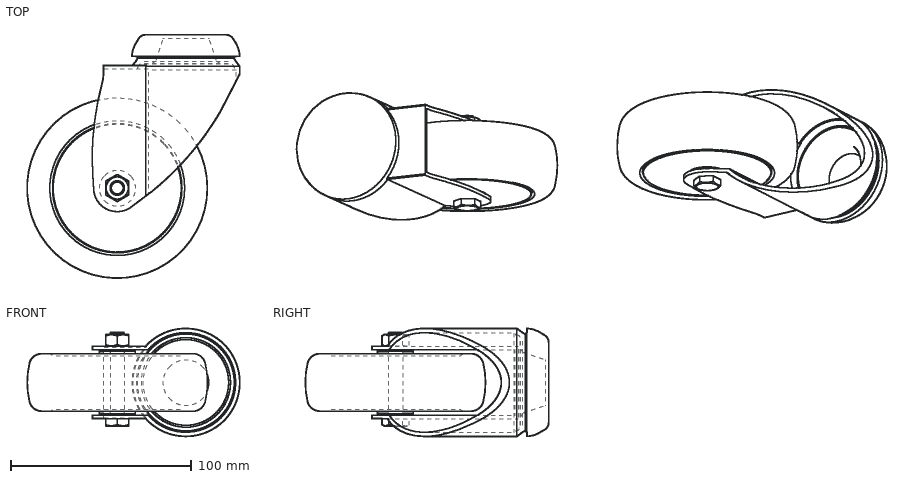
import cadquery as cq
import math


OVERALL_LENGTH_X = 118.0
OVERALL_LENGTH_Y = 135

WHEEL_RADIUS = 100.0 / 2
WHEEL_HALF_WIDTH = 32.0 / 2
TREAD_HALF_WIDTH = 10.8
TREAD_EDGE_RADIUS = 48.7
SIDE_FACE_RADIUS = 41.7
SHOULDER_BULGE = 1.5
LIP_RADIUS = 37.4
DISC_RADIUS = 71.0 / 2
GROOVE_FLOOR_RADIUS = 35.9
GROOVE_DEPTH = 1.1
HUB_RADIUS = 20.0 / 2
HUB_HALF_LENGTH = 17.3

BOLT_RADIUS = 8.0 / 2
HEX_ACROSS_FLATS = 13.0
HEX_CHAMFER_RADIUS = 12.3 / 2
HEX_CHAMFER_SLOPE = math.tan(math.radians(30))
NUT_HEIGHT = 6.5
HEAD_HEIGHT = 4.0
BOLT_PROTRUSION = 1.4
BOLT_TIP_CHAMFER = 0.7

SHEET = 2.0
PLATE_OUTER_Z = 20.1
PLATE_INNER_Z = PLATE_OUTER_Z - SHEET
PLATE_TOP = 68.0
PLATE_TOP_CHAMFER = 0.7
PLATE_TOP_CHAMFER_Z = 0.3
BARREL_RADIUS = 30.0
BARREL_INNER_RADIUS = 55.2 / 2
BARREL_TOP = PLATE_TOP - PLATE_TOP_CHAMFER
EYE_RADIUS = 13.1
EYE_END_ANGLE = math.radians(-56)
SWIVEL_X = OVERALL_LENGTH_X - WHEEL_RADIUS - BARREL_RADIUS

OPEN_EDGE_TOP_X = -7.7
OPEN_EDGE_BEND_START = (OPEN_EDGE_TOP_X, 62.8)
OPEN_EDGE_BEND_MIDDLE = (-7.8, 61.4)
OPEN_EDGE_BEND_END = (-8.0, 60.2)
OPEN_EDGE_UPPER_MIDDLE = (-11.6, 43.2)
OPEN_EDGE_JOIN = (-13.6, 26.0)
OPEN_EDGE_LOWER_MIDDLE = (-13.8, 13.5)
RISING_ARC_START = (19.6, -1.6)
RISING_ARC_MIDDLE = (40.6, 19.0)
RISING_ARC_END = (57.4, 42.7)
RISING_EDGE_TOP_Y = 63.2

HEAD_TOP = OVERALL_LENGTH_Y - WHEEL_RADIUS
HEAD_TOP_RADIUS = 22.4
HEAD_CORNER = (26.5, 82.4)
HEAD_BULGE = 0.7
HEAD_RIM_TOP = 73.5
HEAD_RIM_BOTTOM = 72.9
NECK_RADIUS = 53.7 / 2
COLLAR_RADIUS = 55.2 / 2
COLLAR_BOTTOM = 72.6
NECK_BOTTOM = 71.8
SHOULDER_EDGE = (27.8, 70.2)

DOME_STEP_RADIUS = 53.7 / 2
DOME_STEP_Y = 65.5
DOME_TOP_Y = 69.3
DOME_SAG = 0.7
RING_GAP_OUTER_RADIUS = 24.8
RING_RADIUS = 47.5 / 2
RING_GAP_TOP = 70.2
RING_FACE_Y = 68.8
MOUTH_RADIUS = 20.8
BORE_RADIUS = 31.6 / 2
BORE_FLOOR_RADIUS = 12.7
BORE_FLOOR_Y = HEAD_TOP - SHEET


def bulged_midpoint(start, end, bulge):
    """Middle of an arc that stands `bulge` to the left of the chord from start to end."""
    dx = end[0] - start[0]
    dy = end[1] - start[1]
    chord = math.hypot(dx, dy)
    return (
        (start[0] + end[0]) / 2 - bulge * dy / chord,
        (start[1] + end[1]) / 2 + bulge * dx / chord,
    )


def make_wheel():
    """Tyre, disc and hub as one turned body with a bore for the bolt."""
    face = WHEEL_HALF_WIDTH
    groove = face - GROOVE_DEPTH
    side = (SIDE_FACE_RADIUS, face)
    tread = (TREAD_EDGE_RADIUS, TREAD_HALF_WIDTH)
    tread_low = (TREAD_EDGE_RADIUS, -TREAD_HALF_WIDTH)
    side_low = (SIDE_FACE_RADIUS, -face)
    profile = (
        cq.Workplane("XZ")
        .moveTo(BOLT_RADIUS, HUB_HALF_LENGTH)
        .lineTo(HUB_RADIUS, HUB_HALF_LENGTH)
        .lineTo(HUB_RADIUS, face)
        .lineTo(DISC_RADIUS, face)
        .lineTo(DISC_RADIUS, groove)
        .lineTo(GROOVE_FLOOR_RADIUS, groove)
        .lineTo(LIP_RADIUS, face)
        .lineTo(*side)
        .threePointArc(bulged_midpoint(side, tread, SHOULDER_BULGE), tread)
        .threePointArc((WHEEL_RADIUS, 0), tread_low)
        .threePointArc(bulged_midpoint(tread_low, side_low, SHOULDER_BULGE), side_low)
        .lineTo(LIP_RADIUS, -face)
        .lineTo(GROOVE_FLOOR_RADIUS, -groove)
        .lineTo(DISC_RADIUS, -groove)
        .lineTo(DISC_RADIUS, -face)
        .lineTo(HUB_RADIUS, -face)
        .lineTo(HUB_RADIUS, -HUB_HALF_LENGTH)
        .lineTo(BOLT_RADIUS, -HUB_HALF_LENGTH)
        .close()
    )
    return profile.revolve(360, (0, 0), (0, 1))


def flanks_and_barrel(plate_z, plate_top, barrel_radius, barrel_top):
    """Block between the flat flanks, and the round barrel about the swivel axis that it runs into."""
    beyond_eye = -2 * EYE_RADIUS
    flanks = (
        cq.Workplane("XY", origin=(beyond_eye, beyond_eye, -plate_z))
        .box(SWIVEL_X - beyond_eye, plate_top - beyond_eye, 2 * plate_z, centered=False)
    )
    barrel = (
        cq.Workplane("XZ", origin=(SWIVEL_X, beyond_eye, 0))
        .circle(barrel_radius)
        .extrude(beyond_eye - barrel_top)
    )
    return flanks, barrel


def fork_outline():
    """Side outline of the fork, cut straight through both plates and the barrel."""
    eye_end = (EYE_RADIUS * math.cos(EYE_END_ANGLE), EYE_RADIUS * math.sin(EYE_END_ANGLE))
    right = SWIVEL_X + BARREL_RADIUS
    return (
        cq.Workplane("XY", origin=(0, 0, -BARREL_RADIUS))
        .moveTo(OPEN_EDGE_TOP_X, PLATE_TOP)
        .lineTo(*OPEN_EDGE_BEND_START)
        .threePointArc(OPEN_EDGE_BEND_MIDDLE, OPEN_EDGE_BEND_END)
        .threePointArc(OPEN_EDGE_UPPER_MIDDLE, OPEN_EDGE_JOIN)
        .threePointArc(OPEN_EDGE_LOWER_MIDDLE, (-EYE_RADIUS, 0))
        .threePointArc((0, -EYE_RADIUS), eye_end)
        .lineTo(*RISING_ARC_START)
        .threePointArc(RISING_ARC_MIDDLE, RISING_ARC_END)
        .lineTo(right, RISING_EDGE_TOP_Y)
        .lineTo(right, PLATE_TOP)
        .close()
        .extrude(2 * BARREL_RADIUS)
    )


def make_fork():
    """Bent sheet: two plates, the top web and the half-open barrel."""
    flanks, barrel = flanks_and_barrel(PLATE_OUTER_Z, PLATE_TOP, BARREL_RADIUS, BARREL_TOP)
    outside = flanks.edges("|X and >Y").chamfer(PLATE_TOP_CHAMFER, PLATE_TOP_CHAMFER_Z).union(barrel)
    web_underside = PLATE_TOP - SHEET
    inner_flanks, inner_barrel = flanks_and_barrel(
        PLATE_INNER_Z, web_underside, BARREL_INNER_RADIUS, DOME_STEP_Y
    )
    return outside.intersect(fork_outline()).cut(inner_flanks).cut(inner_barrel)


def turn_about_swivel(sketch):
    """Revolve a closed (radius, Y) profile about the swivel axis."""
    return sketch.close().revolve(360, (0, 0), (0, 1))


def swivel_sketch():
    """Empty sketch with its origin on the swivel axis."""
    return cq.Workplane("XY", origin=(SWIVEL_X, 0, 0))


def make_swivel_head():
    """Domed cap, narrow neck and the shoulder that spreads to the barrel."""
    top_edge = (HEAD_TOP_RADIUS, HEAD_TOP)
    rim = (BARREL_RADIUS, HEAD_RIM_TOP)
    return turn_about_swivel(
        swivel_sketch()
        .moveTo(0, HEAD_TOP)
        .lineTo(*top_edge)
        .threePointArc(bulged_midpoint(top_edge, HEAD_CORNER, HEAD_BULGE), HEAD_CORNER)
        .threePointArc(bulged_midpoint(HEAD_CORNER, rim, HEAD_BULGE), rim)
        .lineTo(BARREL_RADIUS, HEAD_RIM_BOTTOM)
        .lineTo(COLLAR_RADIUS, HEAD_RIM_BOTTOM)
        .lineTo(COLLAR_RADIUS, COLLAR_BOTTOM)
        .lineTo(NECK_RADIUS, COLLAR_BOTTOM)
        .lineTo(NECK_RADIUS, NECK_BOTTOM)
        .lineTo(*SHOULDER_EDGE)
        .lineTo(BARREL_RADIUS, BARREL_TOP)
        .lineTo(0, BARREL_TOP)
    )


def make_head_recess():
    """Hollow under the head: rounded dome, ring gap, and the flared, tapering blind bore."""
    flare = MOUTH_RADIUS - BORE_RADIUS
    diagonal = math.sqrt(0.5)
    flare_mid = (MOUTH_RADIUS - flare * diagonal, RING_FACE_Y + flare * (1 - diagonal))
    dome_start = (DOME_STEP_RADIUS, DOME_STEP_Y)
    dome_end = (RING_GAP_OUTER_RADIUS, DOME_TOP_Y)
    return turn_about_swivel(
        swivel_sketch()
        .moveTo(0, DOME_STEP_Y)
        .lineTo(*dome_start)
        .threePointArc(bulged_midpoint(dome_start, dome_end, -DOME_SAG), dome_end)
        .lineTo(RING_GAP_OUTER_RADIUS, RING_GAP_TOP)
        .lineTo(RING_RADIUS, RING_GAP_TOP)
        .lineTo(RING_RADIUS, RING_FACE_Y)
        .lineTo(MOUTH_RADIUS, RING_FACE_Y)
        .threePointArc(flare_mid, (BORE_RADIUS, RING_FACE_Y + flare))
        .lineTo(BORE_FLOOR_RADIUS, BORE_FLOOR_Y)
        .lineTo(0, BORE_FLOOR_Y)
    )


def make_hexagon(start_z, height, chamfer_bottom, chamfer_top):
    """Hexagon with corners on +Y and -Y, its chosen ends turned to a cone."""
    corner_radius = HEX_ACROSS_FLATS / math.sqrt(3)
    drop = (corner_radius - HEX_CHAMFER_RADIUS) * HEX_CHAMFER_SLOPE
    corners = [
        (corner_radius * math.sin(i * math.pi / 3), corner_radius * math.cos(i * math.pi / 3))
        for i in range(6)
    ]
    hexagon = cq.Workplane("XY", origin=(0, 0, start_z)).polyline(corners).close().extrude(height)
    bottom_radius = HEX_CHAMFER_RADIUS if chamfer_bottom else corner_radius
    top_radius = HEX_CHAMFER_RADIUS if chamfer_top else corner_radius
    envelope = (
        cq.Workplane("XZ")
        .moveTo(0, start_z)
        .lineTo(bottom_radius, start_z)
        .lineTo(corner_radius, start_z + drop)
        .lineTo(corner_radius, start_z + height - drop)
        .lineTo(top_radius, start_z + height)
        .lineTo(0, start_z + height)
        .close()
        .revolve(360, (0, 0), (0, 1))
    )
    return hexagon.intersect(envelope)


def make_bolt():
    """Shank through the wheel, hexagon head below the fork and nut above it."""
    head_face = -PLATE_OUTER_Z - HEAD_HEIGHT
    tip = PLATE_OUTER_Z + NUT_HEIGHT + BOLT_PROTRUSION
    shank = (
        cq.Workplane("XY", origin=(0, 0, -PLATE_OUTER_Z))
        .circle(BOLT_RADIUS)
        .extrude(tip + PLATE_OUTER_Z)
        .faces(">Z")
        .chamfer(BOLT_TIP_CHAMFER)
    )
    head = make_hexagon(head_face, HEAD_HEIGHT, chamfer_bottom=True, chamfer_top=False)
    nut = make_hexagon(PLATE_OUTER_Z, NUT_HEIGHT, chamfer_bottom=True, chamfer_top=True)
    return shank.union(head).union(nut)


wheel = make_wheel()
housing = make_fork().union(make_swivel_head()).cut(make_head_recess()).union(make_bolt())

result = cq.Compound.makeCompound([housing.val(), wheel.val()])